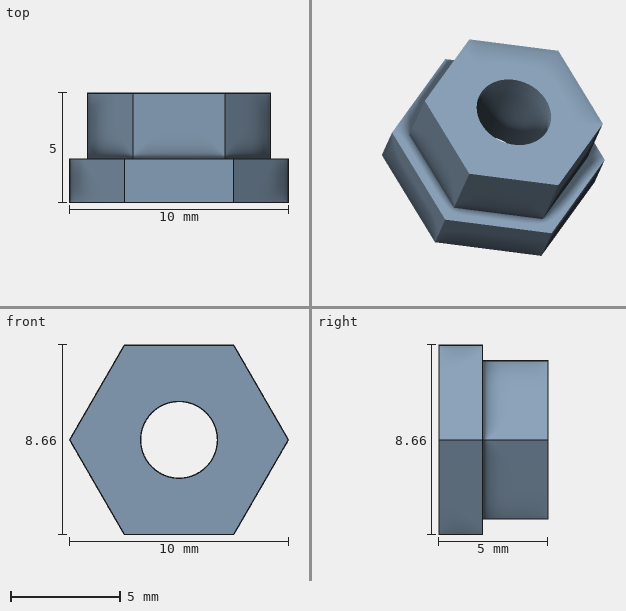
import cadquery as cq
import math

flange_across_corners = 10.0
flange_thickness = 2.0
body_across_flats = 7.25
body_length = 3.0
bore_diameter = 3.5

hexagon_sides = 6
body_across_corners = body_across_flats / math.cos(math.pi / hexagon_sides)
total_length = flange_thickness + body_length


def along_y(start_y):
    """Workplane in XZ at the given Y, oriented so that extrusion runs toward +Y."""
    plane = cq.Plane(origin=(0, start_y, 0), xDir=(1, 0, 0), normal=(0, 1, 0))
    return cq.Workplane(plane)


def hexagonal_prism(across_corners, start_y, length):
    """Hexagonal prism along Y with two corners on the X axis."""
    return along_y(start_y).polygon(hexagon_sides, across_corners).extrude(length)


def through_bore():
    """Cylinder that clears the full length of the part."""
    return along_y(0).circle(bore_diameter / 2).extrude(total_length)


flange = hexagonal_prism(flange_across_corners, 0, flange_thickness)
body = hexagonal_prism(body_across_corners, flange_thickness, body_length)

result = flange.union(body).cut(through_bore())